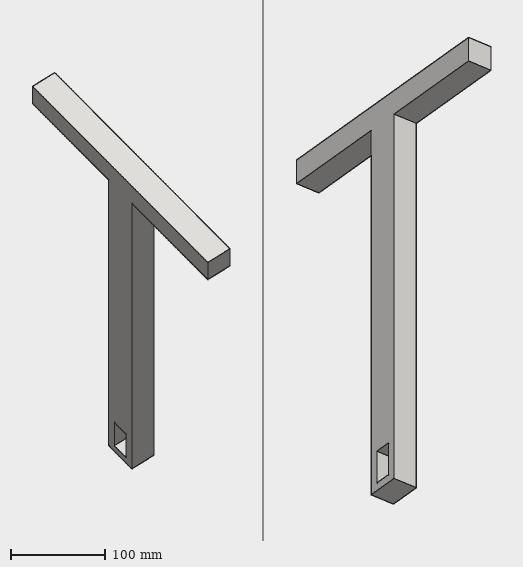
import cadquery as cq

total_height = 490.0
bar_length = 300.0
bar_height = 30.0
thickness = 30.0
stem_width = 40.0
slot_width = 20.0
slot_height = 40.0
slot_margin = 10.0


def centered_block(width, height, bottom):
    """Block of full thickness, centred on X and Y, starting at the given Z."""
    return (
        cq.Workplane("XY")
        .workplane(offset=bottom)
        .box(width, thickness, height, centered=(True, True, False))
    )


bar_bottom = total_height - bar_height
stem = centered_block(stem_width, total_height, 0)
crossbar = centered_block(bar_length, bar_height, bar_bottom)

slot = centered_block(slot_width, slot_height, slot_margin)

result = stem.union(crossbar).cut(slot).clean()